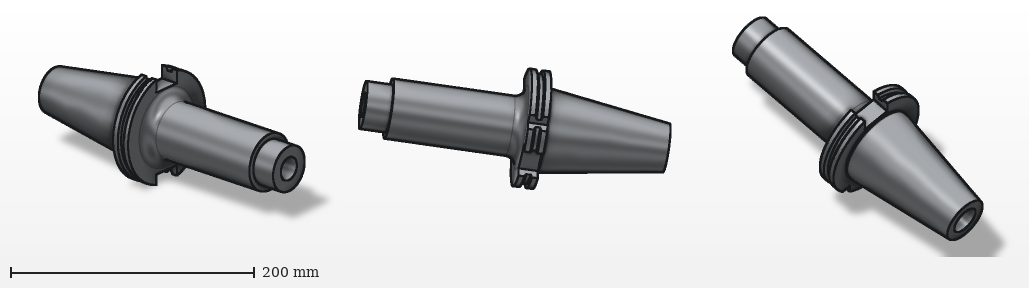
import cadquery as cq
import math

total_length = 252.6

taper_length = 101.8
taper_radius = 35.0
taper_ratio = 7 / 24
small_end_radius = taper_radius - taper_length * taper_ratio / 2
neck_land_length = 1.5
neck_relief = 0.5

flange_start = 104.5
flange_width = 16.2
flange_end = flange_start + flange_width
flange_radius = 48.8
groove_start = 109.7
groove_width = 6.3
groove_depth = 3.0
groove_front_wall_run = 1.0
groove_rear_wall_run = 1.8
groove_end = groove_start + groove_width
groove_radius = flange_radius - groove_depth

body_radius = 25.0
body_fillet = 9.9
body_end = 231.5
nose_radius = 20.0

bore_radius = 10.0
counterbore_radius = 12.1
counterbore_depth = 63.2

slot_width = 25.8
top_slot_floor = 35.4
bottom_slot_floor = 37.6
notch_offset = 30.0


def turned_body():
    """Revolve the outer half profile about the X axis."""
    land_end = taper_length + neck_land_length
    fillet_end = flange_end + body_fillet
    fillet_middle = body_fillet * (1 - math.sqrt(0.5))
    profile = (
        cq.Workplane("XY")
        .lineTo(0, small_end_radius)
        .lineTo(taper_length, taper_radius)
        .lineTo(land_end, taper_radius)
        .lineTo(land_end, taper_radius - neck_relief)
        .lineTo(flange_start, taper_radius - neck_relief)
        .lineTo(flange_start, flange_radius)
        .lineTo(groove_start, flange_radius)
        .lineTo(groove_start + groove_front_wall_run, groove_radius)
        .lineTo(groove_end - groove_rear_wall_run, groove_radius)
        .lineTo(groove_end, flange_radius)
        .lineTo(flange_end, flange_radius)
        .lineTo(flange_end, body_radius + body_fillet)
        .threePointArc(
            (flange_end + fillet_middle, body_radius + fillet_middle),
            (fillet_end, body_radius),
        )
        .lineTo(body_end, body_radius)
        .lineTo(body_end, nose_radius)
        .lineTo(total_length, nose_radius)
        .lineTo(total_length, 0)
        .close()
    )
    return profile.revolve(360, (0, 0, 0), (1, 0, 0))


def bore(radius, depth):
    """Cylinder running along X from the small taper end."""
    return cq.Workplane("YZ").circle(radius).extrude(depth)


def flange_cutter(y_min, y_max, z_min, z_max):
    """Rectangular cutter across the full flange width."""
    return cq.Workplane("XY").box(
        flange_width, y_max - y_min, z_max - z_min, centered=False
    ).translate((flange_start, y_min, z_min))


half_slot = slot_width / 2
top_slot = flange_cutter(-half_slot, half_slot, top_slot_floor, flange_radius)
bottom_slot = flange_cutter(-half_slot, half_slot, -flange_radius, -bottom_slot_floor)
corner_notch = flange_cutter(notch_offset, flange_radius, -flange_radius, -notch_offset)

result = (
    turned_body()
    .cut(bore(bore_radius, total_length))
    .cut(bore(counterbore_radius, counterbore_depth))
    .cut(top_slot)
    .cut(bottom_slot)
    .cut(corner_notch)
)